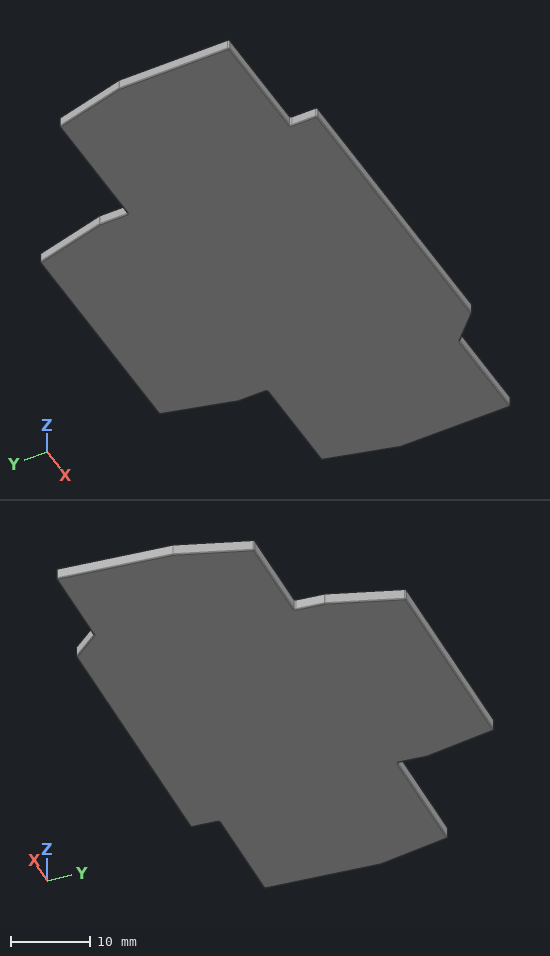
import cadquery as cq

length = 75.2
width = 43.7
thickness = 1.5

foot_depth = 3.8
shoulder_y = 29.6
slant_drop = 10.0

foot_left = 16.3
foot_right = 61.5
head_left = 20.9
head_right = 58.05
slant_run = 2.6

corner_radius = 0.2
bottom_edge_radius = 0.15

outline = [
    (foot_left, 0),
    (foot_right - foot_depth, 0),
    (foot_right, foot_depth),
    (length, foot_depth),
    (length, shoulder_y - slant_drop),
    (length - slant_run, shoulder_y),
    (head_right, shoulder_y),
    (head_right, width - slant_drop),
    (head_right - slant_run, width),
    (head_left + slant_run, width),
    (head_left, width - slant_drop),
    (head_left, shoulder_y),
    (slant_run, shoulder_y),
    (0, shoulder_y - slant_drop),
    (0, foot_depth),
    (foot_left, foot_depth),
]

plate = cq.Workplane("XY").polyline(outline).close().extrude(thickness)
plate = plate.edges("|Z").fillet(corner_radius)

result = plate.faces("<Z").edges().fillet(bottom_edge_radius)